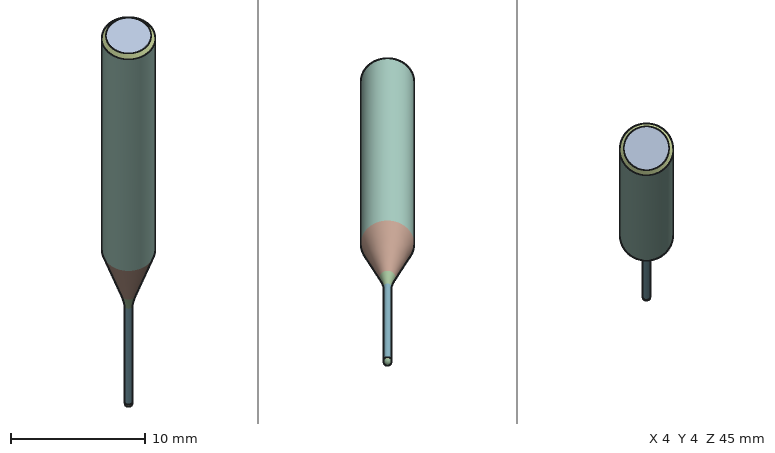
import cadquery as cq
import math

total_length = 45.0
shank_radius = 4.0 / 2
top_chamfer = 0.3

head_radius = 0.3
head_length = 0.5

neck_radius = head_radius
neck_top = 12.15
cone_joint_radius = 0.6
cone_joint_height = 13.65
cone_top = 18.95
flare_sag = 0.025

flare_middle = (
    (neck_radius + cone_joint_radius) / 2 - flare_sag,
    (neck_top + cone_joint_height) / 2,
)


def make_shank():
    """Chamfered shank, cone, flare and slender neck as one turned body."""
    profile = (
        cq.Workplane("XZ")
        .moveTo(0, head_length)
        .lineTo(neck_radius, head_length)
        .lineTo(neck_radius, neck_top)
        .threePointArc(flare_middle, (cone_joint_radius, cone_joint_height))
        .lineTo(shank_radius, cone_top)
        .lineTo(shank_radius, total_length - top_chamfer)
        .lineTo(shank_radius - top_chamfer, total_length)
        .lineTo(0, total_length)
        .close()
    )
    return profile.revolve(360, (0, 0), (0, 1))


def make_cutting_head():
    """Short cylindrical head with a hemispherical tip, butted against the neck."""
    arc_middle = (
        head_radius * math.sin(math.pi / 4),
        head_radius * (1 - math.cos(math.pi / 4)),
    )
    profile = (
        cq.Workplane("XZ")
        .threePointArc(arc_middle, (head_radius, head_radius))
        .lineTo(head_radius, head_length)
        .lineTo(0, head_length)
        .close()
    )
    return profile.revolve(360, (0, 0), (0, 1))


shank = make_shank()
cutting_head = make_cutting_head()

result = cq.Compound.makeCompound([shank.val(), cutting_head.val()])